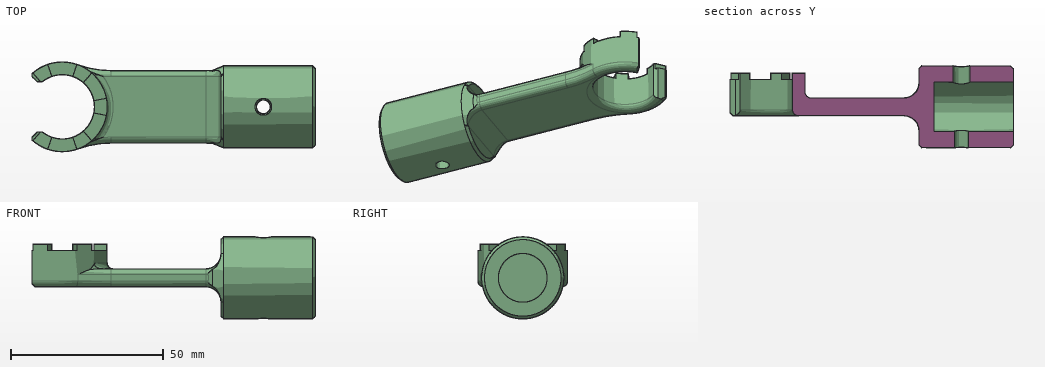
import cadquery as cq
import math

overall_length = 93.0

socket_diameter = 27.0
socket_length = 31.1
socket_chamfer = 0.9
bore_diameter = 16.0
bore_depth = 26.0
pin_from_end = 17.1
upper_pin_diameter = 5.5
lower_pin_diameter = 4.5

arm_width = 23.8
arm_thickness = 5.95
edge_radius = 1.95
neck_radius = 4.9
neck_cone_radius = 12.0
neck_cone_length = 2.7

ring_center_x = 9.95
ring_outer_diameter = 29.5
ring_inner_radius = 10.5
flare_radius = 31.6
bevel_half_width = 10.0
ring_top = 11.1
tooth_height = 2.0
tooth_angle = 22.0
tooth_pitch = 60.0
teeth_each_side = 2
opening_half_angle = 45.0
opening_lip_half_width = 8.2
tip_chamfer = 1.0

selection_margin = 0.1

socket_radius = socket_diameter / 2
socket_start = overall_length - socket_length
neck_start = socket_start - 2 * neck_radius
pin_x = overall_length - pin_from_end
arm_half_width = arm_width / 2
ring_outer_radius = ring_outer_diameter / 2
arm_bottom = -arm_thickness / 2
arm_top = arm_thickness / 2
tooth_root = ring_top - tooth_height
ring_height = ring_top - arm_bottom
skirt_radius = ring_outer_radius + edge_radius

flare_center_distance = ring_outer_radius + flare_radius
flare_y = arm_half_width + flare_radius
flare_angle = math.acos(flare_y / flare_center_distance)
flare_x = ring_center_x + flare_center_distance * math.sin(flare_angle)
touch_x = ring_center_x + ring_outer_radius * math.sin(flare_angle)
touch_y = ring_outer_radius * math.cos(flare_angle)


def cylinder_x(radius, start, length):
    return cq.Workplane("YZ", origin=(start, 0, 0)).circle(radius).extrude(length)


def disc_z(radius, bottom, height):
    return cq.Workplane("XY", origin=(ring_center_x, 0, bottom)).circle(radius).extrude(height)


def sector(middle_angle, half_angle, bottom, height):
    """Wedge from the ring axis, reaching beyond the outer wall."""
    reach = 2 * ring_outer_radius

    def ray(angle):
        return (reach * math.cos(math.radians(angle)), reach * math.sin(math.radians(angle)))

    return (
        cq.Workplane("XY", origin=(ring_center_x, 0, bottom))
        .moveTo(0, 0)
        .lineTo(*ray(middle_angle - half_angle))
        .lineTo(*ray(middle_angle + half_angle))
        .close()
        .extrude(height)
    )


def make_footprint(height):
    """Ring disc and arm in one outline, joined by tangent concave arcs."""
    middle_angle = flare_angle / 2
    middle_x = flare_x - flare_radius * math.sin(middle_angle)
    middle_y = flare_y - flare_radius * math.cos(middle_angle)
    return (
        cq.Workplane("XY", origin=(0, 0, arm_bottom))
        .moveTo(neck_start, arm_half_width)
        .lineTo(flare_x, arm_half_width)
        .threePointArc((middle_x, middle_y), (touch_x, touch_y))
        .threePointArc((ring_center_x - ring_outer_radius, 0), (touch_x, -touch_y))
        .threePointArc((middle_x, -middle_y), (flare_x, -arm_half_width))
        .lineTo(neck_start, -arm_half_width)
        .close()
        .extrude(height)
    )


def make_skirt():
    """Concave fillet from the arm up to the ring, bevelled off towards the arm's edges."""
    arc_inset = edge_radius * (1 - math.sqrt(0.5))
    embedded_radius = (ring_inner_radius + ring_outer_radius) / 2
    skirt_bottom = arm_top - edge_radius
    skirt_top = arm_top + edge_radius
    skirt = (
        cq.Workplane("YZ")
        .moveTo(embedded_radius, skirt_bottom)
        .lineTo(skirt_radius, skirt_bottom)
        .lineTo(skirt_radius, arm_top)
        .threePointArc(
            (ring_outer_radius + arc_inset, arm_top + arc_inset),
            (ring_outer_radius, skirt_top),
        )
        .lineTo(embedded_radius, skirt_top)
        .close()
        .revolve(180, (0, 0, 0), (0, -1, 0))
        .translate((ring_center_x, 0, 0))
        .intersect(make_footprint(ring_height))
    )
    flat_half_width = arm_half_width - edge_radius
    flare_start = cq.Vector(touch_x, touch_y, skirt_bottom)
    arm_corner_x = ring_center_x + math.sqrt(skirt_radius**2 - flat_half_width**2)
    arm_corner = cq.Vector(arm_corner_x, flat_half_width, arm_top)
    wall_x = ring_center_x + math.sqrt(ring_outer_radius**2 - bevel_half_width**2)
    wall_corner = cq.Vector(wall_x, bevel_half_width, skirt_top)
    along = arm_corner - flare_start
    outward = (wall_corner - flare_start).cross(along)
    bevel_plane = cq.Plane(origin=flare_start, xDir=along, normal=outward)
    outside = cq.Workplane(bevel_plane).rect(overall_length, overall_length).extrude(ring_outer_radius)
    before_flare = (
        cq.Workplane("XY")
        .box(2 * ring_outer_radius, 4 * ring_outer_radius, 4 * ring_height)
        .translate((touch_x - ring_outer_radius, 0, 0))
    )
    return skirt.cut(outside).cut(outside.mirror("XZ")).cut(before_flare)


def round_inner_bottom(plate):
    inner_reach = ring_inner_radius + selection_margin
    inner_bottom = cq.selectors.BoxSelector(
        (ring_center_x - inner_reach, -inner_reach, arm_bottom - selection_margin),
        (ring_center_x + inner_reach, inner_reach, arm_bottom + selection_margin),
        boundingbox=True,
    )
    return plate.edges(inner_bottom).fillet(edge_radius)


def make_claw():
    """Arm and ring base with rounded edges, and the ring wall."""
    plate = make_footprint(arm_thickness).edges("(<Z or >Z) and (not >X)").fillet(edge_radius)
    wall = disc_z(ring_outer_radius, arm_bottom, ring_height).faces("<Z").edges().fillet(edge_radius)
    base = plate.union(wall)
    base = base.cut(disc_z(ring_inner_radius, arm_bottom, ring_height))
    return round_inner_bottom(base)


def make_neck():
    """Fillet from the arm to the socket end, kept inside a cone so it meets the socket rim."""
    backing_size = 2 * socket_diameter
    arm_end = (
        cq.Workplane("YZ", origin=(neck_start, 0, 0))
        .rect(arm_width, arm_thickness)
        .extrude(socket_start - neck_start)
        .edges("|X")
        .fillet(edge_radius)
    )
    backing = (
        cq.Workplane("YZ", origin=(socket_start, 0, 0))
        .rect(backing_size, backing_size)
        .extrude(socket_chamfer)
    )
    root = cq.selectors.BoxSelector(
        (socket_start - edge_radius / 2, -socket_radius, -socket_radius),
        (socket_start + edge_radius / 2, socket_radius, socket_radius),
    )
    neck = arm_end.union(backing).edges(root).fillet(neck_radius)
    rim_x = socket_start + socket_chamfer
    cone = (
        cq.Workplane("XY")
        .moveTo(neck_start, 0)
        .lineTo(neck_start, neck_cone_radius)
        .lineTo(socket_start - neck_cone_length, neck_cone_radius)
        .lineTo(rim_x, socket_radius)
        .lineTo(rim_x, 0)
        .close()
        .revolve(360, (0, 0, 0), (1, 0, 0))
    )
    rim_zone = cq.Workplane("XY").box(4 * overall_length, backing_size, 2 * (arm_top + neck_radius))
    return neck.intersect(cone).intersect(rim_zone)


def make_socket():
    return cylinder_x(socket_radius, socket_start, socket_length).edges().chamfer(socket_chamfer)


def cut_socket_holes(body):
    """Blind bore from the open end, with a wider pin hole above than below."""
    body = body.cut(cylinder_x(bore_diameter / 2, overall_length - bore_depth, bore_depth))
    pin_axis = cq.Workplane("XY", origin=(pin_x, 0, 0))
    body = body.cut(pin_axis.circle(upper_pin_diameter / 2).extrude(socket_radius))
    return body.cut(pin_axis.circle(lower_pin_diameter / 2).extrude(-socket_radius))


def cut_ring_opening(body):
    """Mouth toward -X whose tips are cut square and chamfered below."""
    body = body.cut(sector(180, opening_half_angle, arm_bottom, ring_height))
    mouth = cq.Workplane("XY").box(2 * ring_center_x, 2 * opening_lip_half_width, 2 * ring_height)
    beyond_tips = (
        cq.Workplane("XZ")
        .moveTo(0, ring_top)
        .lineTo(0, arm_bottom + tip_chamfer)
        .lineTo(tip_chamfer, arm_bottom)
        .lineTo(-ring_outer_radius, arm_bottom)
        .lineTo(-ring_outer_radius, ring_top)
        .close()
        .extrude(2 * ring_outer_radius, both=True)
    )
    return body.cut(mouth).cut(beyond_tips)


def cut_castellations(body):
    """Lower the rim everywhere except at the evenly spaced teeth."""
    lowered = disc_z(ring_outer_radius, tooth_root, tooth_height)
    for index in range(-teeth_each_side, teeth_each_side + 1):
        lowered = lowered.cut(sector(index * tooth_pitch, tooth_angle / 2, tooth_root, tooth_height))
    return body.cut(lowered)


body = make_claw().union(make_neck()).union(make_socket())
body = cut_socket_holes(body)
body = cut_ring_opening(body)
body = cut_castellations(body)
result = body.union(make_skirt())